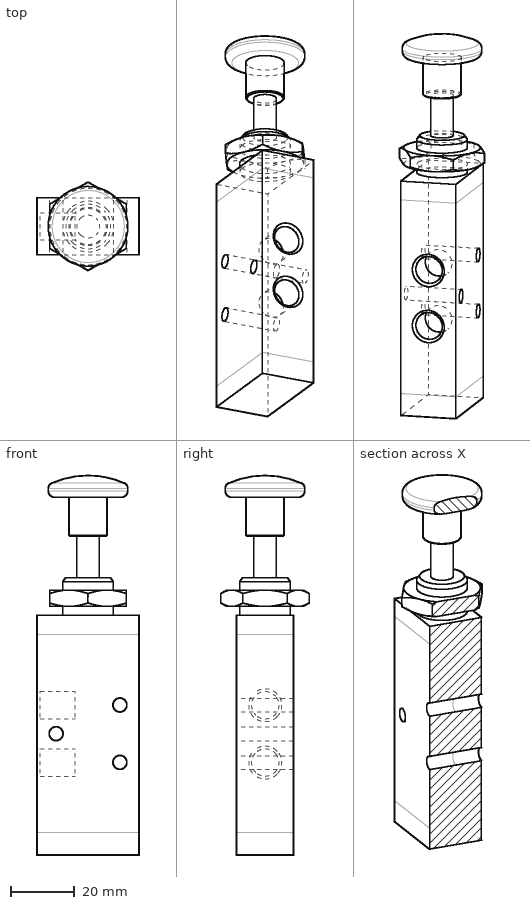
import cadquery as cq
import math

BLOCK_WIDTH = 32.0
BLOCK_DEPTH = 18.0
BLOCK_HEIGHT = 75.2
BOTTOM_CAP_HEIGHT = 7.1
TOP_CAP_HEIGHT = 6.0
MIDDLE_HEIGHT = BLOCK_HEIGHT - BOTTOM_CAP_HEIGHT - TOP_CAP_HEIGHT

PORT_MIDDLE_Z = 38.1
PORT_SPACING = 18.0
PORT_DIAMETER = 8.6
PORT_MOUTH_DIAMETER = 10.4
PORT_DEPTH = 11.9
PORT_CHAMFER = (PORT_MOUTH_DIAMETER - PORT_DIAMETER) / 2
HOLE_DIAMETER = 4.3
HOLE_OFFSET_X = 10.0

COLLAR_DIAMETER = 16.0
COLLAR_TOP_DIAMETER = 14.0
COLLAR_TOP_Z = 87.0
COLLAR_CHAMFER_HEIGHT = 1.3
NUT_BOTTOM_Z = 78.0
NUT_HEIGHT = 5.1
NUT_ACROSS_FLATS = 24.0
NUT_ACROSS_CORNERS = NUT_ACROSS_FLATS / math.cos(math.radians(30))
NUT_CHAMFER_ANGLE = 30

ROD_RADIUS = 3.6
SLEEVE_RADIUS = 6.01
SLEEVE_BOTTOM_Z = 100.0
SLEEVE_CHAMFER = 0.4
KNOB_RADIUS = 12.5
KNOB_BOTTOM_Z = 112.1
KNOB_BAND_BOTTOM_Z = 114.1
KNOB_BAND_TOP_Z = 115.0
DOME_RADIUS = 11.3
DOME_BOTTOM_Z = 116.6
PLUNGER_TOP_Z = 119.0


def make_block():
    """Stack the sections flush, keeping the seams between their faces."""
    block = cq.Workplane("XY").box(
        BLOCK_WIDTH, BLOCK_DEPTH, BOTTOM_CAP_HEIGHT, centered=(True, True, False)
    )
    section_bottom = BOTTOM_CAP_HEIGHT
    for height in (MIDDLE_HEIGHT, TOP_CAP_HEIGHT):
        section = (
            cq.Workplane("XY", origin=(0, 0, section_bottom))
            .box(BLOCK_WIDTH, BLOCK_DEPTH, height, centered=(True, True, False))
        )
        block = block.union(section, clean=False)
        section_bottom += height
    return block


def make_port_cutter(height):
    """Blind bore with a 45 degree mouth, entering the -X side."""
    face_x = -BLOCK_WIDTH / 2
    bore_radius = PORT_DIAMETER / 2
    return (
        cq.Workplane("XY")
        .moveTo(face_x, 0)
        .lineTo(face_x, PORT_MOUTH_DIAMETER / 2)
        .lineTo(face_x + PORT_CHAMFER, bore_radius)
        .lineTo(face_x + PORT_DEPTH, bore_radius)
        .lineTo(face_x + PORT_DEPTH, 0)
        .close()
        .revolve(360, (0, 0, 0), (1, 0, 0))
        .translate((0, 0, height))
    )


def make_mounting_hole_cutters(port_heights):
    """One hole between the ports, and two level with them on the +X half."""
    centers = [(-HOLE_OFFSET_X, PORT_MIDDLE_Z)]
    centers += [(HOLE_OFFSET_X, height) for height in port_heights]
    return (
        cq.Workplane("XZ")
        .pushPoints(centers)
        .circle(HOLE_DIAMETER / 2)
        .extrude(BLOCK_DEPTH, both=True)
    )


def make_collar():
    shoulder_z = COLLAR_TOP_Z - COLLAR_CHAMFER_HEIGHT
    return (
        cq.Workplane("XZ")
        .moveTo(0, BLOCK_HEIGHT)
        .lineTo(COLLAR_DIAMETER / 2, BLOCK_HEIGHT)
        .lineTo(COLLAR_DIAMETER / 2, shoulder_z)
        .lineTo(COLLAR_TOP_DIAMETER / 2, COLLAR_TOP_Z)
        .lineTo(0, COLLAR_TOP_Z)
        .close()
        .revolve(360, (0, 0, 0), (0, 1, 0))
    )


def make_nut():
    """Hexagon with corners along Y, its corners turned off on both faces."""
    hexagon = (
        cq.Workplane("XY", origin=(0, 0, NUT_BOTTOM_Z))
        .polygon(6, NUT_ACROSS_CORNERS)
        .extrude(NUT_HEIGHT)
        .rotate((0, 0, 0), (0, 0, 1), 30)
    )
    face_radius = NUT_ACROSS_FLATS / 2
    corner_radius = NUT_ACROSS_CORNERS / 2
    chamfer_height = (corner_radius - face_radius) * math.tan(math.radians(NUT_CHAMFER_ANGLE))
    nut_top_z = NUT_BOTTOM_Z + NUT_HEIGHT
    turned_blank = (
        cq.Workplane("XZ")
        .moveTo(0, NUT_BOTTOM_Z)
        .lineTo(face_radius, NUT_BOTTOM_Z)
        .lineTo(corner_radius, NUT_BOTTOM_Z + chamfer_height)
        .lineTo(corner_radius, nut_top_z - chamfer_height)
        .lineTo(face_radius, nut_top_z)
        .lineTo(0, nut_top_z)
        .close()
        .revolve(360, (0, 0, 0), (0, 1, 0))
    )
    return hexagon.intersect(turned_blank)


def make_housing():
    port_heights = [PORT_MIDDLE_Z + side * PORT_SPACING / 2 for side in (-1, 1)]
    housing = make_block()
    for height in port_heights:
        housing = housing.cut(make_port_cutter(height), clean=False)
    housing = housing.cut(make_mounting_hole_cutters(port_heights), clean=False)
    housing = housing.union(make_collar(), clean=False)
    return housing.union(make_nut(), clean=False)


def make_plunger():
    """Turned rod standing on the collar, with the sleeve and knob above it."""
    edge_radius = KNOB_BAND_BOTTOM_Z - KNOB_BOTTOM_Z
    dome_height = PLUNGER_TOP_Z - DOME_BOTTOM_Z
    dome_sphere_radius = (DOME_RADIUS**2 + dome_height**2) / (2 * dome_height)
    dome_middle_radius = DOME_RADIUS / 2
    dome_middle_z = (
        PLUNGER_TOP_Z - dome_sphere_radius + math.sqrt(dome_sphere_radius**2 - dome_middle_radius**2)
    )
    return (
        cq.Workplane("XZ")
        .moveTo(0, COLLAR_TOP_Z)
        .lineTo(ROD_RADIUS, COLLAR_TOP_Z)
        .lineTo(ROD_RADIUS, SLEEVE_BOTTOM_Z)
        .lineTo(SLEEVE_RADIUS - SLEEVE_CHAMFER, SLEEVE_BOTTOM_Z)
        .lineTo(SLEEVE_RADIUS, SLEEVE_BOTTOM_Z + SLEEVE_CHAMFER)
        .lineTo(SLEEVE_RADIUS, KNOB_BOTTOM_Z)
        .lineTo(KNOB_RADIUS - edge_radius, KNOB_BOTTOM_Z)
        .tangentArcPoint((KNOB_RADIUS, KNOB_BAND_BOTTOM_Z), relative=False)
        .lineTo(KNOB_RADIUS, KNOB_BAND_TOP_Z)
        .tangentArcPoint((DOME_RADIUS, DOME_BOTTOM_Z), relative=False)
        .threePointArc((dome_middle_radius, dome_middle_z), (0, PLUNGER_TOP_Z))
        .close()
        .revolve(360, (0, 0, 0), (0, 1, 0))
    )


housing = make_housing()
plunger = make_plunger()

result = cq.Compound.makeCompound([housing.solids().val(), plunger.val()])